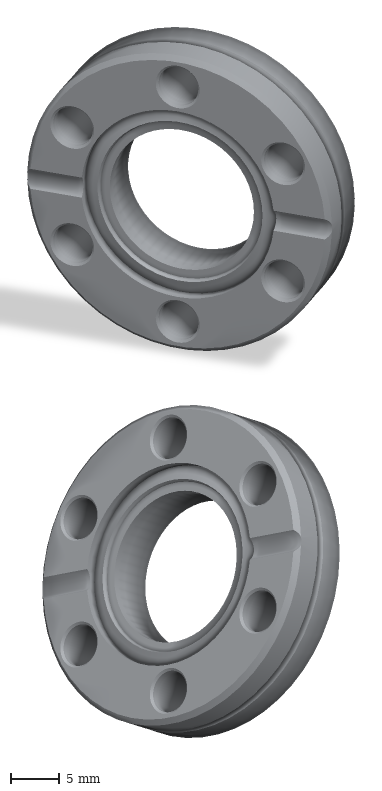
import cadquery as cq
import math

outer_diameter = 33.8
thickness = 7.6
bore_diameter = 16.0
rim_chamfer = 0.55

recess_diameter = 21.4
recess_depth = 1.3
knife_edge_diameter = 18.3
knife_edge_depth = 0.68
knife_foot_diameter = 17.9
seat_depth = 1.18

bolt_count = 6
bolt_circle_diameter = 27.0
bolt_hole_diameter = 4.4
bolt_hole_chamfer = 0.25

leak_groove_width = 2.3
leak_groove_depth = 0.6
rim_groove_width = 0.95
rim_groove_depth = 0.27

outer_radius = outer_diameter / 2
half_thickness = thickness / 2


def flange_body():
    """Revolve the cross-section; profile x is the radius and profile y runs along the axis."""
    recess_profile = [
        (bore_diameter / 2, half_thickness - seat_depth),
        (knife_foot_diameter / 2, half_thickness - seat_depth),
        (knife_edge_diameter / 2, half_thickness - knife_edge_depth),
        (recess_diameter / 2, half_thickness - recess_depth),
        (recess_diameter / 2, half_thickness),
    ]
    rim_profile = [
        (outer_radius - rim_chamfer, half_thickness),
        (outer_radius, half_thickness - rim_chamfer),
        (outer_radius, rim_groove_width / 2),
    ]
    upper_half = recess_profile + rim_profile
    lower_half = [(radius, -y) for radius, y in reversed(upper_half)]
    return (
        cq.Workplane("XY")
        .polyline(upper_half)
        .threePointArc((outer_radius - rim_groove_depth, 0), lower_half[0])
        .polyline(lower_half, includeCurrent=False)
        .close()
        .revolve(360, (0, 0, 0), (0, 1, 0))
    )


def bolt_hole():
    """Through hole along Y on the Z axis, chamfered at both faces."""
    hole_radius = bolt_hole_diameter / 2
    mouth_radius = hole_radius + bolt_hole_chamfer
    chamfer_start = half_thickness - bolt_hole_chamfer
    centre_z = bolt_circle_diameter / 2
    return (
        cq.Workplane("XY", origin=(0, 0, centre_z))
        .polyline([
            (0, half_thickness),
            (mouth_radius, half_thickness),
            (hole_radius, chamfer_start),
            (hole_radius, -chamfer_start),
            (mouth_radius, -half_thickness),
            (0, -half_thickness),
        ])
        .close()
        .revolve(360, (0, 0, 0), (0, 1, 0))
    )


def leak_groove(face_y):
    """Cylinder along X that cuts a shallow groove across the face at face_y, clear of the knife edge."""
    radius = (leak_groove_width**2 / 4 + leak_groove_depth**2) / (2 * leak_groove_depth)
    axis_y = face_y + math.copysign(radius - leak_groove_depth, face_y)
    return (
        cq.Workplane("YZ", origin=(0, axis_y, 0))
        .circle(radius)
        .extrude(outer_radius, both=True)
    )


result = flange_body()

for index in range(bolt_count):
    angle = index * 360 / bolt_count
    result = result.cut(bolt_hole().rotate((0, 0, 0), (0, 1, 0), angle))

for face_y in (-half_thickness, half_thickness):
    result = result.cut(leak_groove(face_y))